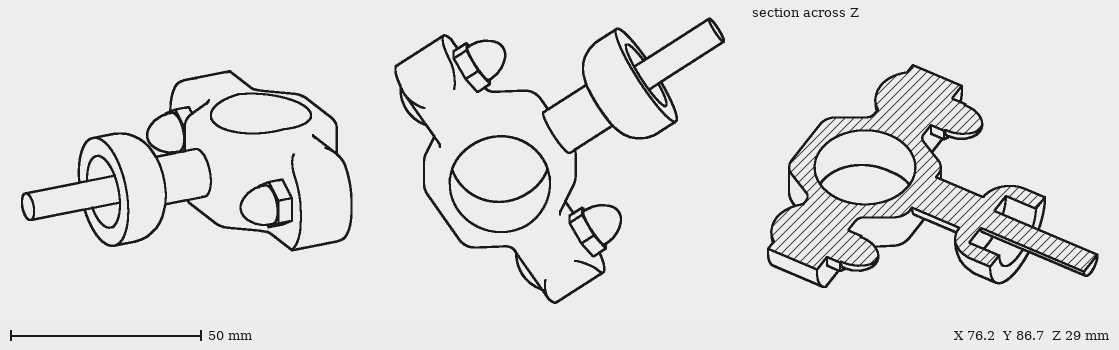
import cadquery as cq
import math

HUB_APOTHEM = 18.0
HEXAGON_SIDES = 6
HEXAGON_HALF_ANGLE = math.pi / HEXAGON_SIDES
HUB_CORNER_X = HUB_APOTHEM * math.tan(HEXAGON_HALF_ANGLE)
EAR_HALF_LENGTH = 38.1
EAR_HALF_THICKNESS = 7.5
RIDGE_HALF_HEIGHT = 14.0
ROOF_ANGLE = 5.0
HUB_CORNER_RADIUS = 5.0
EAR_CORNER_RADIUS = 2.5
HUB_RIM_FILLET = 3.0
EAR_RIM_FILLET = 3.5
EAR_END_RADIUS = 12.85
BORE_RADIUS = 13.2
TOLERANCE = 0.01

BOLT_X = 27.3
HEAD_RADIUS = 7.6
HEAD_COLLAR = 0.2
HEAD_DOME_HEIGHT = 3.45
NUT_ACROSS_FLATS = 11.2
NUT_THICKNESS = 4.0
CAP_RADIUS = 5.2
CAP_COLLAR = 0.8
CAP_TIP_RADIUS = 2.4
CAP_FLANK_LENGTH = 6.15

STEM_RADIUS = 6.4
CUP_RADIUS = 14.48
CUP_RIM_Y = -46.4
CUP_RIM_LENGTH = 6.1
CUP_RECESS_RADIUS = 9.6
CUP_RECESS_DEPTH = 9.1
ROD_RADIUS = 3.6
ROD_END_Y = -68.66


def prism_z(outline):
    """Extrude an XY outline far enough to cover the whole body height."""
    return outline.extrude(RIDGE_HALF_HEIGHT, both=True)


def rim_edges(body):
    """Edges around the top and bottom faces, without the ridge lines and the ear ends."""
    edges = body.edges("not |Z").vals()
    return [
        edge
        for edge in edges
        if abs(edge.Center().y) > TOLERANCE and abs(edge.Center().x) < EAR_HALF_LENGTH - TOLERANCE
    ]


def rim_radius(edge):
    """Fillet radius of one rim edge, or None where it changes along an inner corner arc."""
    on_ear = abs(edge.Center().y) < EAR_HALF_THICKNESS + TOLERANCE
    if on_ear:
        return EAR_RIM_FILLET
    is_inner_arc = edge.geomType() != "LINE" and abs(edge.Center().x) > HUB_CORNER_X
    return None if is_inner_arc else HUB_RIM_FILLET


def fillet_rims(body):
    """Round the rims with one radius on the hub and a larger one on the ears.

    Workplane.fillet takes a single radius, so the kernel's fillet builder is used directly.
    Inner corner arcs get no radius and blend between their neighbours.
    """
    builder = cq.occ_impl.shapes.BRepFilletAPI_MakeFillet(body.val().wrapped)
    edges = rim_edges(body)
    for edge in edges:
        if builder.Contour(edge.wrapped) == 0:
            builder.Add(edge.wrapped)
    for edge in edges:
        radius = rim_radius(edge)
        if radius is None:
            continue
        chain = builder.Contour(edge.wrapped)
        for index in range(1, builder.NbEdges(chain) + 1):
            if builder.Edge(chain, index).IsSame(edge.wrapped):
                builder.SetRadius(radius, chain, index)
    return cq.Workplane("XY").newObject([cq.Shape.cast(builder.Shape())])


def make_plan_body():
    """Hub and ears at full height, with the vertical corners rounded."""
    hub_across_flats = 2 * HUB_APOTHEM
    hub_across_corners = hub_across_flats / math.cos(HEXAGON_HALF_ANGLE)
    inner_corner_x = (hub_across_flats - EAR_HALF_THICKNESS) * math.tan(HEXAGON_HALF_ANGLE)

    hub = prism_z(cq.Workplane("XY").polygon(HEXAGON_SIDES, hub_across_corners))
    hub = hub.edges("|Z").fillet(HUB_CORNER_RADIUS)
    ears = prism_z(cq.Workplane("XY").rect(2 * EAR_HALF_LENGTH, 2 * EAR_HALF_THICKNESS))
    inner_corners = (
        hub.union(ears)
        .edges("|Z")
        .filter(lambda edge: abs(abs(edge.Center().x) - inner_corner_x) < TOLERANCE)
    )
    return inner_corners.fillet(EAR_CORNER_RADIUS)


def make_roof_form():
    """Prism along X whose top and bottom slope down from a ridge along the X axis."""
    edge_half_height = RIDGE_HALF_HEIGHT - HUB_APOTHEM * math.tan(math.radians(ROOF_ANGLE))
    return (
        cq.Workplane("YZ")
        .moveTo(0, RIDGE_HALF_HEIGHT)
        .lineTo(HUB_APOTHEM, edge_half_height)
        .lineTo(HUB_APOTHEM, -edge_half_height)
        .lineTo(0, -RIDGE_HALF_HEIGHT)
        .lineTo(-HUB_APOTHEM, -edge_half_height)
        .lineTo(-HUB_APOTHEM, edge_half_height)
        .close()
        .extrude(EAR_HALF_LENGTH, both=True)
    )


def make_end_form():
    """Prism along Y that rounds the ear ends."""
    return (
        cq.Workplane("XZ")
        .rect(2 * EAR_HALF_LENGTH, 2 * RIDGE_HALF_HEIGHT)
        .extrude(HUB_APOTHEM, both=True)
        .edges("|Y")
        .fillet(EAR_END_RADIUS)
    )


def make_body():
    body = make_plan_body().intersect(make_roof_form())
    body = fillet_rims(body).intersect(make_end_form())
    return body.cut(prism_z(cq.Workplane("XY").circle(BORE_RADIUS)))


def make_bolt(x):
    """Domed head on the +Y face of an ear, hexagon nut and acorn cap on the -Y face."""
    dome_y = EAR_HALF_THICKNESS + HEAD_COLLAR
    dome_radius = (HEAD_RADIUS**2 + HEAD_DOME_HEIGHT**2) / (2 * HEAD_DOME_HEIGHT)
    head = (
        cq.Workplane("XY")
        .moveTo(x, EAR_HALF_THICKNESS)
        .lineTo(x + HEAD_RADIUS, EAR_HALF_THICKNESS)
        .lineTo(x + HEAD_RADIUS, dome_y)
        .radiusArc((x, dome_y + HEAD_DOME_HEIGHT), -dome_radius)
        .close()
        .revolve(360, (x, 0), (x, 1))
    )

    nut = (
        cq.Workplane("XZ", origin=(x, -EAR_HALF_THICKNESS, 0))
        .polygon(HEXAGON_SIDES, NUT_ACROSS_FLATS, circumscribed=True)
        .extrude(NUT_THICKNESS)
    )

    nut_y = -EAR_HALF_THICKNESS - NUT_THICKNESS
    flank_y = nut_y - CAP_COLLAR
    tip_y = flank_y - CAP_FLANK_LENGTH
    inset = CAP_RADIUS - CAP_TIP_RADIUS
    flank_radius = (inset**2 + CAP_FLANK_LENGTH**2) / (2 * inset)
    tip_angle = math.asin(CAP_FLANK_LENGTH / flank_radius)
    tip_sphere_radius = CAP_TIP_RADIUS / math.cos(tip_angle)
    apex_y = tip_y - tip_sphere_radius * (1 - math.sin(tip_angle))
    cap = (
        cq.Workplane("XY")
        .moveTo(x, nut_y)
        .lineTo(x + CAP_RADIUS, nut_y)
        .lineTo(x + CAP_RADIUS, flank_y)
        .radiusArc((x + CAP_TIP_RADIUS, tip_y), flank_radius)
        .radiusArc((x, apex_y), tip_sphere_radius)
        .close()
        .revolve(360, (x, 0), (x, 1))
    )
    return head.union(nut).union(cap)


def make_stem():
    """Stem, cup and rod as one turned profile, starting inside the hub wall."""
    start_y = -(BORE_RADIUS + HUB_APOTHEM) / 2
    dome_radius = CUP_RADIUS - STEM_RADIUS
    dome_end_y = CUP_RIM_Y + CUP_RIM_LENGTH
    recess_floor_y = CUP_RIM_Y + CUP_RECESS_DEPTH
    return (
        cq.Workplane("XY")
        .moveTo(0, start_y)
        .lineTo(STEM_RADIUS, start_y)
        .lineTo(STEM_RADIUS, dome_end_y + dome_radius)
        .radiusArc((CUP_RADIUS, dome_end_y), dome_radius)
        .lineTo(CUP_RADIUS, CUP_RIM_Y)
        .lineTo(CUP_RECESS_RADIUS, CUP_RIM_Y)
        .lineTo(CUP_RECESS_RADIUS, recess_floor_y)
        .lineTo(ROD_RADIUS, recess_floor_y)
        .lineTo(ROD_RADIUS, ROD_END_Y)
        .lineTo(0, ROD_END_Y)
        .close()
        .revolve(360, (0, 0), (0, 1))
    )


result = make_body().union(make_stem())
for bolt_x in (-BOLT_X, BOLT_X):
    result = result.union(make_bolt(bolt_x))